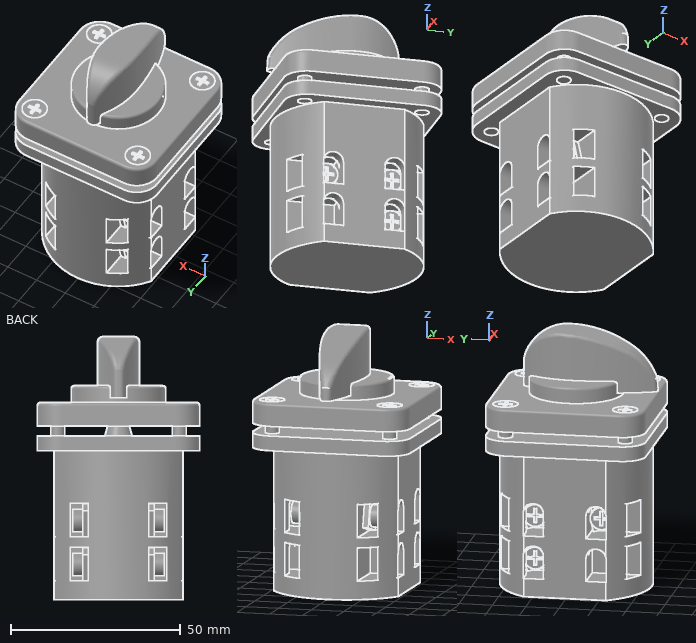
import cadquery as cq
import math


BODY_HEIGHT = 44.0
FLANGE_THICKNESS = 4.4
PLATE_GAP = 2.9
PLATE_THICKNESS = 7.0
HUB_HEIGHT = 5.0
KNOB_CLEARANCE = 1.4
TOTAL_HEIGHT = 77.75
FLANGE_TOP = BODY_HEIGHT + FLANGE_THICKNESS
PLATE_BOTTOM = FLANGE_TOP + PLATE_GAP
PLATE_TOP = PLATE_BOTTOM + PLATE_THICKNESS
KNOB_BOTTOM = PLATE_TOP + KNOB_CLEARANCE

PLATE_SIDE = 48.0
PLATE_CORNER_RADIUS = 7.0
EDGE_RADIUS = 1.0
HUB_RADIUS = 14.0

COLLAR_BOTTOM_RADIUS = 4.05
COLLAR_TOP_RADIUS = 3.3

KNOB_HALF_WIDTH = 6.2
KNOB_END_HALF_WIDTH = 1.1
KNOB_EDGE_RADIUS = 1.5
KNOB_BACK_Y = 15.7
KNOB_NOSE_Y = -24.5
KNOB_BACK_TOP_Z = 68.0
KNOB_CREST_Y = 3.65
KNOB_CREST_RADIUS = 40.65
KNOB_SHOULDER_Y = -16.4
KNOB_TIP_Y = -24.2
KNOB_TIP_Z = 63.75

BODY_RADIUS = 22.7
FLAT_HALF_WIDTH = 19.05

OPENING_HEIGHT = 9.95
LOWER_SILL_Z = 5.6
LEVEL_PITCH = 13.0
UPPER_SILL_Z = LOWER_SILL_Z + LEVEL_PITCH
POCKET_INNER_X = 8.9
WIRE_OPENING_OUTER_X = 14.2
POCKET_INNER_Y = 6.4
ARCH_WIDTH = 6.1

CLAMP_SIDE = 8.0
CLAMP_THICKNESS = 1.7
CLAMP_TILT = 14.5
TERMINAL_Y = 9.95
TERMINAL_RISE = 4.9
TERMINAL_HEAD_RADIUS = 3.35
TERMINAL_HEAD_HEIGHT = 2.95
TERMINAL_CROSS_LENGTH = 4.3

SCREW_SPACING = 35.9
HALF_SPACING = SCREW_SPACING / 2
SCREW_PLACES = [(x, y) for x in (-HALF_SPACING, HALF_SPACING) for y in (-HALF_SPACING, HALF_SPACING)]
SCREW_HEAD_RADIUS = 3.7
SCREW_HEAD_HEIGHT = 2.3
SCREW_SHANK_RADIUS = 2.1
SCREW_CROSS_LENGTH = 3.9
CROSS_WIDTH = 0.8
CROSS_DEPTH = 0.8


def rounded_plate(bottom_z, thickness):
    return (
        cq.Workplane("XY", origin=(0, 0, bottom_z))
        .rect(PLATE_SIDE, PLATE_SIDE)
        .extrude(thickness)
        .edges("|Z")
        .fillet(PLATE_CORNER_RADIUS)
    )


def cross_recess(length):
    """Cross-shaped cutter whose top lies on the XY plane."""
    bar = cq.Workplane("XY").box(length, CROSS_WIDTH, CROSS_DEPTH, centered=(True, True, False))
    cross = bar.union(bar.rotate((0, 0, 0), (0, 0, 1), 90))
    return cross.translate((0, 0, -CROSS_DEPTH))


def corner_screw():
    """Flush-headed screw on the Z axis, reaching through the flange."""
    shank = cq.Workplane("XY", origin=(0, 0, BODY_HEIGHT)).circle(SCREW_SHANK_RADIUS)
    shank = shank.extrude(PLATE_TOP - BODY_HEIGHT)
    head = cq.Workplane("XY", origin=(0, 0, PLATE_TOP)).circle(SCREW_HEAD_RADIUS)
    head = head.extrude(-SCREW_HEAD_HEIGHT)
    return shank.union(head)


def cut_screw_holes(body):
    for x, y in SCREW_PLACES:
        body = body.cut(corner_screw().translate((x, y, 0)))
    return body


def knob_plan():
    """Lens-shaped prism: each side is two arcs that meet at the widest point, on Y = 0."""

    def bulge(end_y):
        """A point halfway along the arc from the widest point to the end."""
        sag = KNOB_HALF_WIDTH - KNOB_END_HALF_WIDTH
        radius = (end_y**2 + sag**2) / (2 * sag)
        middle_y = end_y / 2
        middle_x = KNOB_HALF_WIDTH - radius + math.sqrt(radius**2 - middle_y**2)
        return middle_x, middle_y

    back_x, back_y = bulge(KNOB_BACK_Y)
    nose_x, nose_y = bulge(KNOB_NOSE_Y)
    return (
        cq.Workplane("XY", origin=(0, 0, KNOB_BOTTOM))
        .moveTo(-KNOB_END_HALF_WIDTH, KNOB_NOSE_Y)
        .lineTo(KNOB_END_HALF_WIDTH, KNOB_NOSE_Y)
        .threePointArc((nose_x, nose_y), (KNOB_HALF_WIDTH, 0))
        .threePointArc((back_x, back_y), (KNOB_END_HALF_WIDTH, KNOB_BACK_Y))
        .lineTo(-KNOB_END_HALF_WIDTH, KNOB_BACK_Y)
        .threePointArc((-back_x, back_y), (-KNOB_HALF_WIDTH, 0))
        .threePointArc((-nose_x, nose_y), (-KNOB_END_HALF_WIDTH, KNOB_NOSE_Y))
        .close()
        .extrude(TOTAL_HEIGHT - KNOB_BOTTOM)
    )


def knob_profile():
    """Side outline of the knob, as wide as the knob: back arc, long crest and nose arc."""
    run = KNOB_CREST_Y - KNOB_SHOULDER_Y
    shoulder_z = TOTAL_HEIGHT - KNOB_CREST_RADIUS + math.sqrt(KNOB_CREST_RADIUS**2 - run**2)
    back_run = KNOB_BACK_Y - KNOB_CREST_Y
    back_rise = TOTAL_HEIGHT - KNOB_BACK_TOP_Z
    back_radius = (back_run**2 + back_rise**2) / (2 * back_rise)
    back_angle = math.asin(back_run / back_radius) / 2
    back_middle = (
        KNOB_CREST_Y + back_radius * math.sin(back_angle),
        TOTAL_HEIGHT - back_radius * (1 - math.cos(back_angle)),
    )
    return (
        cq.Workplane("YZ")
        .moveTo(KNOB_NOSE_Y, KNOB_BOTTOM)
        .lineTo(KNOB_BACK_Y, KNOB_BOTTOM)
        .lineTo(KNOB_BACK_Y, KNOB_BACK_TOP_Z)
        .threePointArc(back_middle, (KNOB_CREST_Y, TOTAL_HEIGHT))
        .tangentArcPoint((KNOB_SHOULDER_Y, shoulder_z), relative=False)
        .tangentArcPoint((KNOB_TIP_Y, KNOB_TIP_Z), relative=False)
        .close()
        .extrude(KNOB_HALF_WIDTH, both=True)
    )


def knob():
    """The profile trimmed to the lens plan, with its long side edges rounded."""
    blank = knob_plan().intersect(knob_profile())

    def is_outline_edge(edge):
        box = edge.BoundingBox()
        on_a_side = abs(edge.Center().x) > KNOB_END_HALF_WIDTH / 2
        on_bottom = box.zmax < KNOB_BOTTOM + KNOB_EDGE_RADIUS
        at_widest_point = max(abs(box.ymin), abs(box.ymax)) < KNOB_EDGE_RADIUS
        return on_a_side and not on_bottom and not at_widest_point

    outline = [edge for edge in blank.edges().vals() if is_outline_edge(edge)]
    return blank.newObject(outline).fillet(KNOB_EDGE_RADIUS)


def operator():
    plate = rounded_plate(PLATE_BOTTOM, PLATE_THICKNESS).faces(">Z").edges().fillet(EDGE_RADIUS)
    hub = cq.Workplane("XY", origin=(0, 0, PLATE_TOP)).circle(HUB_RADIUS).extrude(HUB_HEIGHT)
    hub = hub.faces(">Z").edges().fillet(EDGE_RADIUS)
    return cut_screw_holes(plate).union(hub).union(knob())


def housing_shell():
    """Body with flats, flange and tapered shaft collar."""
    body = cq.Workplane("XY").circle(BODY_RADIUS).extrude(BODY_HEIGHT)
    flats = cq.Workplane("XY").rect(2 * FLAT_HALF_WIDTH, 2 * BODY_RADIUS).extrude(BODY_HEIGHT)
    collar = (
        cq.Workplane("XY", origin=(0, 0, FLANGE_TOP))
        .circle(COLLAR_BOTTOM_RADIUS)
        .workplane(offset=PLATE_GAP)
        .circle(COLLAR_TOP_RADIUS)
        .loft()
    )
    flange = rounded_plate(BODY_HEIGHT, FLANGE_THICKNESS)
    return cut_screw_holes(body.intersect(flats).union(flange)).union(collar)


def terminal_pocket(sill_z):
    """Cutter for the -X, -Y corner: arched screw opening and square wire opening."""
    arch_radius = ARCH_WIDTH / 2
    outer_y = -POCKET_INNER_Y - ARCH_WIDTH
    spring_z = sill_z + OPENING_HEIGHT - arch_radius
    screw_opening = (
        cq.Workplane("YZ", origin=(-POCKET_INNER_X, 0, 0))
        .moveTo(-POCKET_INNER_Y, sill_z)
        .lineTo(-POCKET_INNER_Y, spring_z)
        .threePointArc((-POCKET_INNER_Y - arch_radius, spring_z + arch_radius), (outer_y, spring_z))
        .lineTo(outer_y, sill_z)
        .close()
        .extrude(POCKET_INNER_X - BODY_RADIUS)
    )
    wire_opening = cq.Workplane("XY").box(
        WIRE_OPENING_OUTER_X - POCKET_INNER_X,
        BODY_RADIUS - POCKET_INNER_Y,
        OPENING_HEIGHT,
        centered=False,
    )
    wire_opening = wire_opening.translate((-WIRE_OPENING_OUTER_X, -BODY_RADIUS, sill_z))
    return screw_opening.union(wire_opening)


def terminal(y, sill_z):
    """Clamping plate and screw head standing on the inner wall of a -X pocket."""
    clamp = cq.Workplane("XY").rect(CLAMP_SIDE, CLAMP_SIDE).extrude(CLAMP_THICKNESS)
    clamp = clamp.rotate((0, 0, 0), (0, 0, 1), CLAMP_TILT)
    head_top = CLAMP_THICKNESS + TERMINAL_HEAD_HEIGHT
    head = cq.Workplane("XY").circle(TERMINAL_HEAD_RADIUS).extrude(head_top)
    head = head.cut(cross_recess(TERMINAL_CROSS_LENGTH).translate((0, 0, head_top)))
    upright = clamp.union(head).rotate((0, 0, 0), (0, 0, 1), 90)
    facing_out = upright.rotate((0, 0, 0), (0, 1, 0), -90)
    return facing_out.translate((-POCKET_INNER_X, y, sill_z + TERMINAL_RISE))


def housing():
    body = housing_shell()
    for sill_z in (LOWER_SILL_Z, UPPER_SILL_Z):
        corner = terminal_pocket(sill_z)
        pair = corner.union(corner.mirror("XZ"))
        body = body.cut(pair).cut(pair.mirror("YZ"))
    terminal_places = [
        (TERMINAL_Y, LOWER_SILL_Z),
        (TERMINAL_Y, UPPER_SILL_Z),
        (-TERMINAL_Y, UPPER_SILL_Z),
    ]
    for y, sill_z in terminal_places:
        left = terminal(y, sill_z)
        body = body.union(left).union(left.mirror("YZ"))
    return body


screw_recess = cross_recess(SCREW_CROSS_LENGTH).translate((0, 0, PLATE_TOP))
screws = [corner_screw().cut(screw_recess).translate((x, y, 0)) for x, y in SCREW_PLACES]

result = cq.Compound.makeCompound(
    [housing().val(), operator().val(), *[screw.val() for screw in screws]]
)